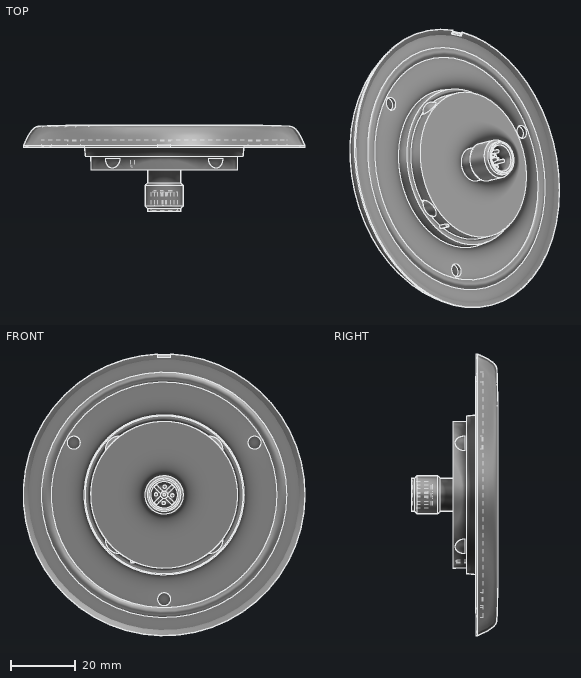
import cadquery as cq
import math


housing_radius = 44.0
rim_top = 0.5
side_radius = 42.4
side_y = 3.9
shoulder_radius = 40.8
shoulder_y = 5.9
dome_edge_radius = 38.5
dome_edge_y = 6.7
dome_crown_radius = 28.7
dome_top = 6.95
rim_start_lean = 24.0
face_radius = 42.2
face_y = 0.5

notch_width = 4.05
notch_inner_z = 42.8
notch_bend_z = 43.3
notch_rise = 0.35
notch_overrun = 0.9

step_root_radius = 25.0
step_end_radius = 24.6
step_front = -2.9
boss_radius = 45.8 / 2
boss_front = -7.1

mount_hole_radius = 2.0
mount_hole_depth = 1.4
mount_circle_radius = 32.55
mount_hole_angles = (30, 150, 270)

bump_angles = (45, 135, 225, 315)
bump_radius = 4.4
bump_reach = 24.1
bump_gap = 0.5

index_pin_radius = 0.66
index_pin_angle = 244.5
index_pin_length = 3.3
index_pin_chamfer = 0.4

seal_inner_radius = 35.2
seal_outer_radius = 38.3
seal_crown_radius = 2.5
seal_depth = 1.8

connector_tip = -20.1
stem_radius = 10.4 / 2
collar_radius = 12.0 / 2
collar_back = -11.1
collar_front = -19.1
collar_chamfer_length = 0.8
mouth_radius = 9.4 / 2
socket_radius = 8.3 / 2
mouth_depth = 0.35
socket_floor = connector_tip + 6.2

contact_radius = 1.05 / 2
contact_length = 4.4
contact_tip_fillet = 0.4
contact_count = 4
contact_circle_radius = 2.55
contact_turn = -3.5
center_root_radius = 1.1
center_tip_radius = 0.77 / 2
slot_width = 1.05
slot_length = 7.9
slot_depth = 0.4
slot_angles = (45, 135)


def turned(profile):
    """Solid of revolution about the Y axis of an open half profile in the XY plane."""
    return profile.close().revolve(360, (0, 0, 0), (0, 1, 0))


def cylinder_towards_front(radius, start_y, length, x, z):
    """Cylinder that starts at start_y and runs towards -Y."""
    return cq.Workplane("XZ", origin=(x, start_y, z)).circle(radius).extrude(length)


def polar(radius, angle):
    """X and Z of the point at this radius and angle (degrees) about the Y axis."""
    return radius * math.cos(math.radians(angle)), radius * math.sin(math.radians(angle))


def make_seal():
    mid_radius = (seal_inner_radius + seal_outer_radius) / 2
    half_width = (seal_outer_radius - seal_inner_radius) / 2
    crown_height = seal_crown_radius - math.sqrt(seal_crown_radius ** 2 - half_width ** 2)
    groove_floor = face_y + seal_depth
    return turned(
        cq.Workplane("XY")
        .moveTo(seal_inner_radius, groove_floor)
        .lineTo(seal_inner_radius, face_y)
        .threePointArc((mid_radius, face_y - crown_height), (seal_outer_radius, face_y))
        .lineTo(seal_outer_radius, groove_floor)
    )


def housing_body():
    lean = math.radians(rim_start_lean)
    return turned(
        cq.Workplane("XY")
        .moveTo(0, boss_front)
        .lineTo(boss_radius, boss_front)
        .lineTo(boss_radius, step_front)
        .lineTo(step_end_radius, step_front)
        .lineTo(step_root_radius, face_y)
        .lineTo(face_radius, face_y)
        .lineTo(housing_radius, 0)
        .lineTo(housing_radius, rim_top)
        .spline(
            [
                (side_radius, side_y),
                (shoulder_radius, shoulder_y),
                (dome_edge_radius, dome_edge_y),
            ],
            tangents=[
                (-math.sin(lean), math.cos(lean)),
                (dome_crown_radius - dome_edge_radius, dome_top - dome_edge_y),
            ],
            includeCurrent=True,
        )
        .lineTo(dome_crown_radius, dome_top)
        .lineTo(0, dome_top)
    )


def rim_notch():
    """Slot across the rim: a flat floor that slopes away towards the outside."""
    outer_z = housing_radius + notch_overrun
    slope = notch_rise / (housing_radius - notch_bend_z)
    outer_y = face_y + slope * (outer_z - notch_bend_z)
    return (
        cq.Workplane("YZ", origin=(-notch_width / 2, 0, 0))
        .polyline([
            (-notch_overrun, notch_inner_z),
            (face_y, notch_inner_z),
            (face_y, notch_bend_z),
            (outer_y, outer_z),
            (-notch_overrun, outer_z),
        ])
        .close()
        .extrude(notch_width)
    )


def locking_bump(angle):
    flat_y = step_front - bump_gap
    x, z = polar(bump_reach - bump_radius, angle)
    ball = cq.Workplane("XY").sphere(bump_radius)
    slab = cq.Workplane("XZ").rect(2 * bump_radius, 2 * bump_radius).extrude(flat_y - boss_front)
    return ball.intersect(slab).translate((x, flat_y, z))


def index_pin():
    x, z = polar(boss_radius, index_pin_angle)
    pin = cylinder_towards_front(index_pin_radius, step_front, index_pin_length, x, z)
    return pin.faces("<Y").chamfer(index_pin_chamfer)


def make_housing(seal_ring):
    body = housing_body().cut(rim_notch()).cut(seal_ring)
    for angle in mount_hole_angles:
        x, z = polar(mount_circle_radius, angle)
        hole = cylinder_towards_front(mount_hole_radius, face_y + mount_hole_depth, mount_hole_depth, x, z)
        body = body.cut(hole)
    for angle in bump_angles:
        body = body.union(locking_bump(angle))
    return body.union(index_pin())


def connector_shell():
    return turned(
        cq.Workplane("XY")
        .moveTo(0, boss_front)
        .lineTo(stem_radius, boss_front)
        .lineTo(stem_radius, collar_back)
        .lineTo(collar_radius, collar_back - collar_chamfer_length)
        .lineTo(collar_radius, collar_front + collar_chamfer_length)
        .lineTo(stem_radius, collar_front)
        .lineTo(stem_radius, connector_tip)
        .lineTo(mouth_radius, connector_tip)
        .lineTo(socket_radius, connector_tip + mouth_depth)
        .lineTo(socket_radius, socket_floor)
        .lineTo(0, socket_floor)
    )


def floor_slot(angle):
    slot = cq.Workplane("XZ").rect(slot_length, slot_width).extrude(-slot_depth)
    return slot.rotate((0, 0, 0), (0, 1, 0), angle).translate((0, socket_floor, 0))


def contact(angle):
    x, z = polar(contact_circle_radius, angle)
    pin = cylinder_towards_front(contact_radius, socket_floor, contact_length, x, z)
    return pin.faces("<Y").fillet(contact_tip_fillet)


def center_contact():
    """Tapered contact, rooted at the bottom of the crossed slots."""
    root_y = socket_floor + slot_depth
    return turned(
        cq.Workplane("XY")
        .moveTo(0, root_y)
        .lineTo(center_root_radius, root_y)
        .lineTo(center_root_radius, socket_floor)
        .lineTo(center_tip_radius, socket_floor - contact_length)
        .lineTo(0, socket_floor - contact_length)
    )


def make_connector():
    body = connector_shell()
    for angle in slot_angles:
        body = body.cut(floor_slot(angle))
    for i in range(contact_count):
        body = body.union(contact(contact_turn + i * 360 / contact_count))
    return body.union(center_contact())


seal = make_seal()
housing = make_housing(seal)
connector = make_connector()

result = cq.Compound.makeCompound([housing.val(), seal.val(), connector.val()])